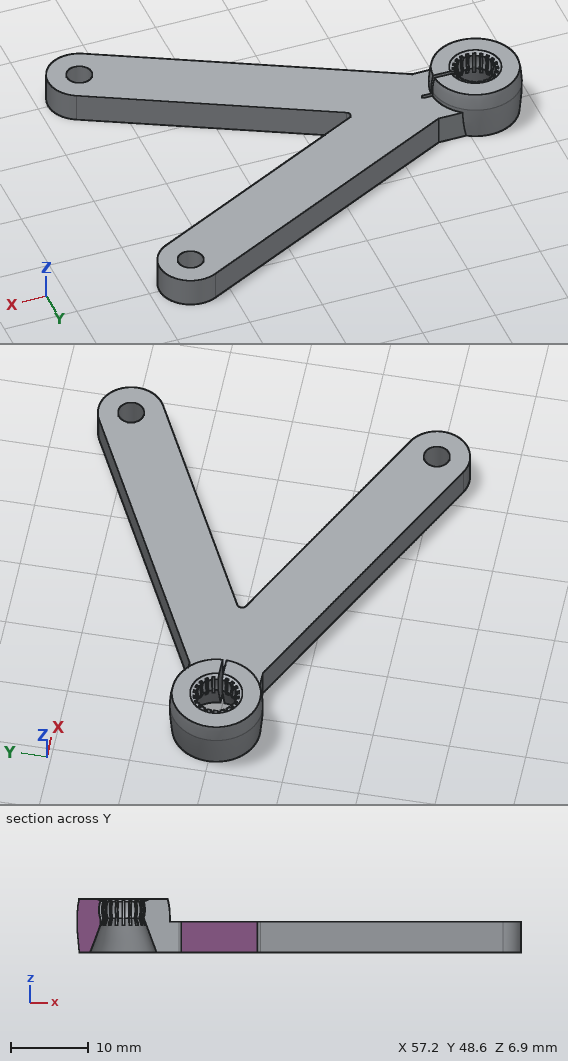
import cadquery as cq
import math

overall_length = 57.2
overall_width = 48.6

arm_thickness = 4.0
arm_end_radius = 4.3
arm_slope = 0.5
pin_hole_diameter = 3.4
crotch_radius = 0.65

hub_height = 6.9
hub_widest_radius = 6.0
hub_widest_height = 4.65
hub_end_radius = 5.7

neck_half_width = 4.8

spline_count = 20
spline_tip_radius = 2.65
spline_groove_depth = 0.35
spline_groove_width = 0.35
spline_bulge = 0.2
spline_bottom_height = 4.45
mouth_radius = 3.4
mouth_depth = 0.35
relief_radius = 4.3
spline_top_height = hub_height - mouth_depth

slot_width = 0.5
slot_reach = 7.4

arm_angle = math.atan(arm_slope)
pin_x = overall_length - hub_widest_radius - arm_end_radius
pin_y = overall_width / 2 - arm_end_radius

tangent_dx = arm_end_radius * math.sin(arm_angle)
tangent_dy = arm_end_radius * math.cos(arm_angle)
arm_axis_start_x = pin_x - pin_y / arm_slope
edge_shift_x = arm_end_radius / math.sin(arm_angle)
crotch_x = arm_axis_start_x + edge_shift_x
neck_corner_x = arm_axis_start_x - edge_shift_x + neck_half_width / arm_slope


def make_arms():
    """V-shaped plate with a rounded crotch and a neck that reaches the hub axis."""
    plate = (
        cq.Workplane("XY")
        .moveTo(0, -neck_half_width)
        .lineTo(neck_corner_x, -neck_half_width)
        .lineTo(pin_x - tangent_dx, -pin_y - tangent_dy)
        .threePointArc(
            (pin_x + tangent_dy, -pin_y - tangent_dx),
            (pin_x + tangent_dx, -pin_y + tangent_dy),
        )
        .lineTo(crotch_x, 0)
        .lineTo(pin_x + tangent_dx, pin_y - tangent_dy)
        .threePointArc(
            (pin_x + tangent_dy, pin_y + tangent_dx),
            (pin_x - tangent_dx, pin_y + tangent_dy),
        )
        .lineTo(neck_corner_x, neck_half_width)
        .lineTo(0, neck_half_width)
        .close()
        .extrude(arm_thickness)
    )
    crotch_edge = cq.selectors.NearestToPointSelector((crotch_x, 0, arm_thickness / 2))
    plate = plate.edges(crotch_edge).fillet(crotch_radius)
    pin_holes = (
        cq.Workplane("XY")
        .pushPoints([(pin_x, pin_y), (pin_x, -pin_y)])
        .circle(pin_hole_diameter / 2)
        .extrude(arm_thickness)
    )
    return plate.cut(pin_holes)


def revolve_about_z(profile):
    """Close a profile drawn in the XZ plane and turn it about the Z axis."""
    return profile.close().revolve(360, (0, 0, 0), (0, 1, 0))


def hub_arc_middle(end_height):
    """Middle of the side arc from the widest circle, where it is vertical, to an end face."""
    drop = hub_widest_radius - hub_end_radius
    rise = end_height - hub_widest_height
    arc_radius = (rise**2 + drop**2) / (2 * drop)
    half_angle = math.asin(rise / arc_radius) / 2
    return (
        hub_widest_radius - arc_radius * (1 - math.cos(half_angle)),
        hub_widest_height + arc_radius * math.sin(half_angle),
    )


def make_hub():
    """Turned hub whose side bulges to its widest circle."""
    profile = (
        cq.Workplane("XZ")
        .lineTo(hub_end_radius, 0)
        .threePointArc(hub_arc_middle(0), (hub_widest_radius, hub_widest_height))
        .threePointArc(hub_arc_middle(hub_height), (hub_end_radius, hub_height))
        .lineTo(0, hub_height)
    )
    return revolve_about_z(profile)


def make_barrelled_core(end_radius):
    """Full-height round core that bulges along the spline and is straight beyond it."""
    middle_height = (spline_bottom_height + spline_top_height) / 2
    profile = (
        cq.Workplane("XZ")
        .lineTo(end_radius, 0)
        .lineTo(end_radius, spline_bottom_height)
        .threePointArc(
            (end_radius + spline_bulge, middle_height),
            (end_radius, spline_top_height),
        )
        .lineTo(end_radius, hub_height)
        .lineTo(0, hub_height)
    )
    return revolve_about_z(profile)


def make_cone(narrow_height, wide_height, wide_radius):
    """Conical opening that widens from the tooth tips to an end face."""
    profile = (
        cq.Workplane("XZ")
        .moveTo(0, narrow_height)
        .lineTo(spline_tip_radius, narrow_height)
        .lineTo(wide_radius, wide_height)
        .lineTo(0, wide_height)
    )
    return revolve_about_z(profile)


def make_grooves():
    """Radial bars trimmed to the barrelled root surface of the spline."""
    bars = (
        cq.Workplane("XY")
        .polarArray(hub_end_radius / 2, 0, 360, spline_count)
        .rect(hub_end_radius, spline_groove_width)
        .extrude(hub_height)
    )
    return bars.intersect(make_barrelled_core(spline_tip_radius + spline_groove_depth))


def make_bore():
    """Everything removed from the middle of the hub: tooth-tip core, grooves and end cones."""
    return (
        make_barrelled_core(spline_tip_radius)
        .union(make_grooves())
        .union(make_cone(spline_bottom_height, 0, relief_radius))
        .union(make_cone(spline_top_height, hub_height, mouth_radius))
    )


def make_slot():
    """Narrow through slot running from the hub axis in +X."""
    half_width = slot_width / 2
    straight_length = slot_reach - half_width
    return (
        cq.Workplane("XY")
        .moveTo(0, -half_width)
        .lineTo(straight_length, -half_width)
        .threePointArc((slot_reach, 0), (straight_length, half_width))
        .lineTo(0, half_width)
        .close()
        .extrude(hub_height)
    )


result = make_arms().union(make_hub()).cut(make_bore()).cut(make_slot())